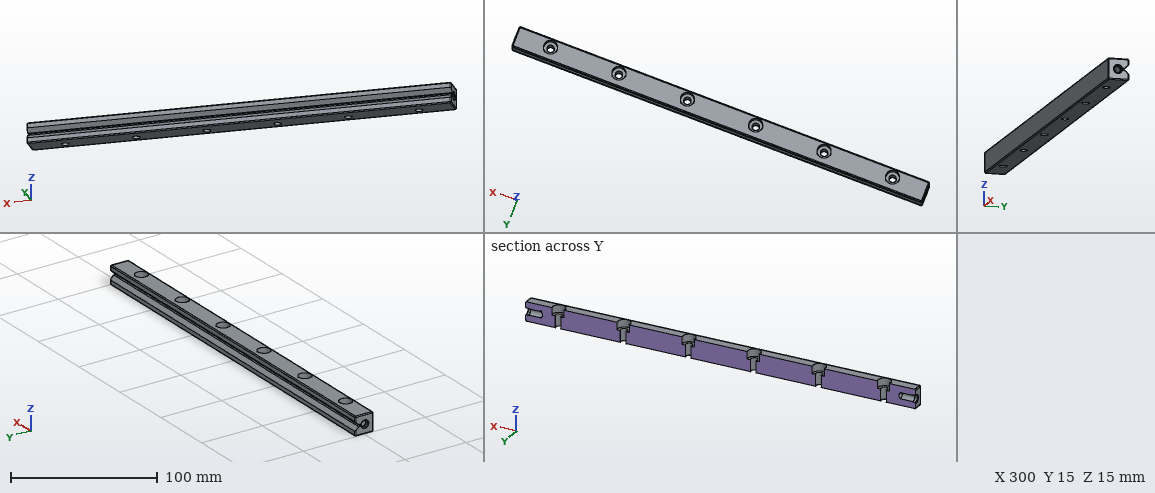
import cadquery as cq
import math

length = 300.0
width = 15.0
height = 15.0
edge_chamfer = 0.75

raceway_depth = 2.88
relief_height = 1.5
relief_depth = 4.5
raceway_opening = relief_height + 2 * raceway_depth

hole_count = 6
hole_pitch = length / hole_count
hole_y = -1.47
hole_diameter = 5.0
counterbore_diameter = 9.5
counterbore_depth = 5.7

end_hole_y = -0.5
end_hole_mouth_diameter = 6.3
end_hole_entry_diameter = 5.0
end_hole_entry_depth = 2.5
end_hole_bore_diameter = 4.5
end_hole_depth = 12.0
drill_point_angle = 118.0


def rail_body():
    """Bar with all outer edges chamfered, centred on the origin."""
    return cq.Workplane("XY").box(length, width, height).edges().chamfer(edge_chamfer)


def raceway():
    """Cutter for the V groove and its relief slot, running the full length."""
    side = width / 2
    lip = side - raceway_depth
    root = side - relief_depth
    return (
        cq.Workplane("YZ")
        .moveTo(side, raceway_opening / 2)
        .lineTo(lip, relief_height / 2)
        .lineTo(root, relief_height / 2)
        .lineTo(root, -relief_height / 2)
        .lineTo(lip, -relief_height / 2)
        .lineTo(side, -raceway_opening / 2)
        .close()
        .extrude(length / 2, both=True)
    )


def add_mounting_holes(body):
    """Row of through holes, counterbored from the top."""
    return (
        body.faces(">Z")
        .workplane(origin=(0, hole_y, 0))
        .rarray(hole_pitch, 3, hole_count, 1)
        .cboreHole(hole_diameter, counterbore_diameter, counterbore_depth)
    )


def end_hole():
    """Cutter for the -X end: 45 degree mouth, short entry, narrower bore and conical bottom."""
    mouth_radius = end_hole_mouth_diameter / 2
    entry_radius = end_hole_entry_diameter / 2
    bore_radius = end_hole_bore_diameter / 2
    mouth_depth = mouth_radius - entry_radius
    point_length = bore_radius / math.tan(math.radians(drill_point_angle / 2))
    return (
        cq.Workplane("XY")
        .lineTo(0, mouth_radius)
        .lineTo(mouth_depth, entry_radius)
        .lineTo(end_hole_entry_depth, entry_radius)
        .lineTo(end_hole_entry_depth, bore_radius)
        .lineTo(end_hole_depth, bore_radius)
        .lineTo(end_hole_depth + point_length, 0)
        .close()
        .revolve(360, (0, 0, 0), (1, 0, 0))
        .translate((-length / 2, end_hole_y, 0))
    )


near_end_hole = end_hole()
far_end_hole = near_end_hole.mirror("YZ")

result = add_mounting_holes(rail_body().cut(raceway()))
result = result.cut(near_end_hole).cut(far_end_hole)